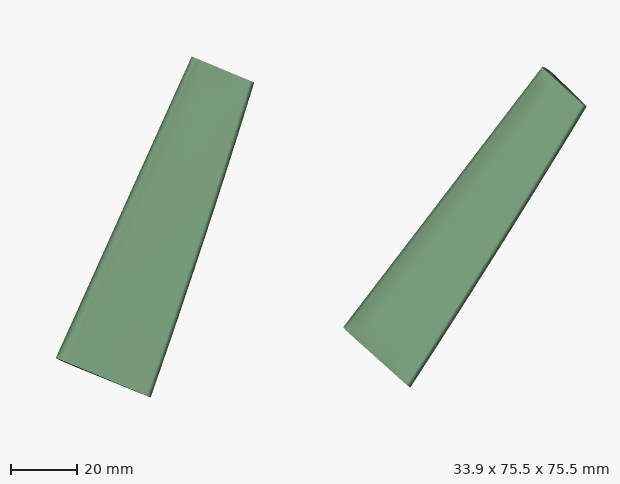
import cadquery as cq

span = 99.8
bore_diameter = 3.2

root_nose_radius = 4.345
tip_nose_radius = 2.68
nose_edge = 0.8

root_chord = 28.8
tip_chord = 18.9
mid_chord_bulge = 0.5

tail_half_thickness = 0.9
tail_length = 0.8

mid_nose_radius = (root_nose_radius + tip_nose_radius) / 2
mid_chord = (root_chord + tip_chord) / 2 + mid_chord_bulge

root_plane = cq.Plane(origin=(0, 0, 0), xDir=(1, 0, 0), normal=(0, 1, 1))


def section(distance, nose_radius, chord):
    """Closed blade outline at a given distance along the span."""
    nose_half_thickness = (nose_radius**2 - nose_edge**2) ** 0.5
    return (
        cq.Workplane(root_plane)
        .workplane(offset=distance)
        .moveTo(nose_edge, nose_half_thickness)
        .threePointArc((-nose_radius, 0), (nose_edge, -nose_half_thickness))
        .lineTo(chord, -tail_half_thickness)
        .threePointArc((chord + tail_length, 0), (chord, tail_half_thickness))
        .close()
        .val()
    )


sections = [
    section(0, root_nose_radius, root_chord),
    section(span / 2, mid_nose_radius, mid_chord),
    section(span, tip_nose_radius, tip_chord),
]
blade = cq.Workplane(cq.Solid.makeLoft(sections))

bore = cq.Workplane(root_plane).circle(bore_diameter / 2).extrude(span)

result = blade.cut(bore)